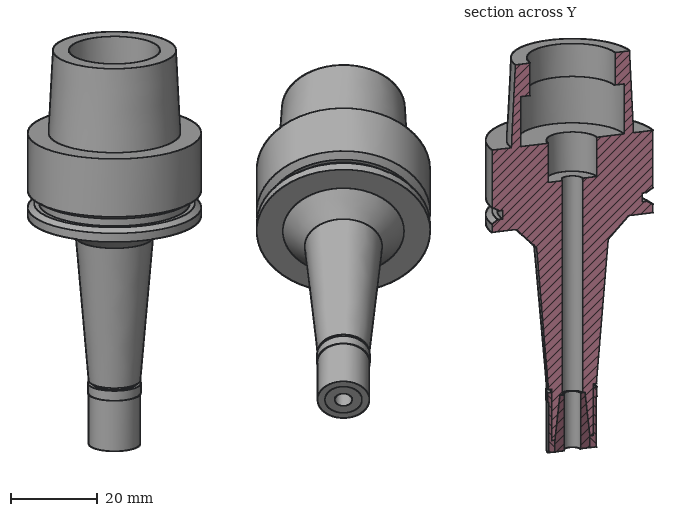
import cadquery as cq


TOTAL_HEIGHT = 95.0
TAPER_LENGTH = 19.95
SHOULDER_Z = TOTAL_HEIGHT - TAPER_LENGTH
BODY_BOTTOM_Z = 61.1
GROOVE_TOP_Z = 60.0
GROOVE_BOTTOM_Z = 58.0
FLANGE_EDGE_Z = 57.1
FLANGE_BOTTOM_Z = 55.0
NECK_TOP_Z = 50.0
NECK_BOTTOM_Z = 15.3
NUT_TOP_Z = 14.6
COLLAR_BOTTOM_Z = 12.3

TAPER_TOP_DIAMETER = 28.4
TAPER_BASE_DIAMETER = 30.4
FLANGE_DIAMETER = 40.0
BODY_FOOT_DIAMETER = 36.5
GROOVE_DIAMETER = 34.8
FLANGE_LIP_DIAMETER = 37.05
CONE_TOP_DIAMETER = 27.9
NECK_TOP_DIAMETER = 17.9
NECK_BOTTOM_DIAMETER = 12.0
NOSE_DIAMETER = 10.4

MOUTH_DIAMETER = 21.0
MOUTH_DEPTH = 8.0
CAVITY_DIAMETER = 25.6
CAVITY_FLOOR_Z = SHOULDER_Z
TUBE_HOLE_DIAMETER = 12.0
TUBE_HOLE_DEPTH = 9.5
TUBE_HOLE_FLOOR_Z = CAVITY_FLOOR_Z - TUBE_HOLE_DEPTH
BORE_DIAMETER = 5.0

COLLAR_DIAMETER = 12.3
NUT_DIAMETER = 12.0
NUT_LIP_THICKNESS = 2.85
COLLET_LENGTH = 13.6
COLLET_BACK_DIAMETER = 6.1
COLLET_FRONT_DIAMETER = 8.55
COLLET_BORE_DIAMETER = 4.0


def revolve(profile):
    """Turn a closed outline of (diameter, height) points about the Z axis."""
    points = [(diameter / 2, height) for diameter, height in profile]
    return cq.Workplane("XZ").polyline(points).close().revolve(360, (0, 0), (0, 1))


def make_holder():
    """Tapered shank, grooved flange and slender neck ending in a nose inside the nut."""
    outside = [
        (TAPER_TOP_DIAMETER, TOTAL_HEIGHT),
        (TAPER_BASE_DIAMETER, SHOULDER_Z),
        (FLANGE_DIAMETER, SHOULDER_Z),
        (FLANGE_DIAMETER, BODY_BOTTOM_Z),
        (BODY_FOOT_DIAMETER, GROOVE_TOP_Z),
        (GROOVE_DIAMETER, GROOVE_TOP_Z),
        (GROOVE_DIAMETER, GROOVE_BOTTOM_Z),
        (FLANGE_LIP_DIAMETER, GROOVE_BOTTOM_Z),
        (FLANGE_DIAMETER, FLANGE_EDGE_Z),
        (FLANGE_DIAMETER, FLANGE_BOTTOM_Z),
        (CONE_TOP_DIAMETER, FLANGE_BOTTOM_Z),
        (NECK_TOP_DIAMETER, NECK_TOP_Z),
        (NECK_BOTTOM_DIAMETER, NECK_BOTTOM_Z),
        (NOSE_DIAMETER, NECK_BOTTOM_Z),
        (NOSE_DIAMETER, NUT_LIP_THICKNESS),
    ]
    inside = [
        (COLLET_FRONT_DIAMETER, NUT_LIP_THICKNESS),
        (COLLET_BACK_DIAMETER, COLLET_LENGTH),
        (BORE_DIAMETER, COLLET_LENGTH),
        (BORE_DIAMETER, TUBE_HOLE_FLOOR_Z),
        (TUBE_HOLE_DIAMETER, TUBE_HOLE_FLOOR_Z),
        (TUBE_HOLE_DIAMETER, CAVITY_FLOOR_Z),
        (CAVITY_DIAMETER, CAVITY_FLOOR_Z),
        (CAVITY_DIAMETER, TOTAL_HEIGHT - MOUTH_DEPTH),
        (MOUTH_DIAMETER, TOTAL_HEIGHT - MOUTH_DEPTH),
        (MOUTH_DIAMETER, TOTAL_HEIGHT),
    ]
    return revolve(outside + inside)


def make_nut():
    """Collared nut around the nose, with a front lip around the collet."""
    return revolve(
        [
            (NOSE_DIAMETER, NUT_TOP_Z),
            (COLLAR_DIAMETER, NUT_TOP_Z),
            (COLLAR_DIAMETER, COLLAR_BOTTOM_Z),
            (NUT_DIAMETER, COLLAR_BOTTOM_Z),
            (NUT_DIAMETER, 0),
            (COLLET_FRONT_DIAMETER, 0),
            (COLLET_FRONT_DIAMETER, NUT_LIP_THICKNESS),
            (NOSE_DIAMETER, NUT_LIP_THICKNESS),
        ]
    )


def make_collet():
    """Bored collet: a straight front in the nut's lip and a tapered back in the nose."""
    return revolve(
        [
            (COLLET_BORE_DIAMETER, 0),
            (COLLET_FRONT_DIAMETER, 0),
            (COLLET_FRONT_DIAMETER, NUT_LIP_THICKNESS),
            (COLLET_BACK_DIAMETER, COLLET_LENGTH),
            (COLLET_BORE_DIAMETER, COLLET_LENGTH),
        ]
    )


holder = make_holder()
nut = make_nut()
collet = make_collet()

result = cq.Compound.makeCompound([holder.val(), nut.val(), collet.val()])